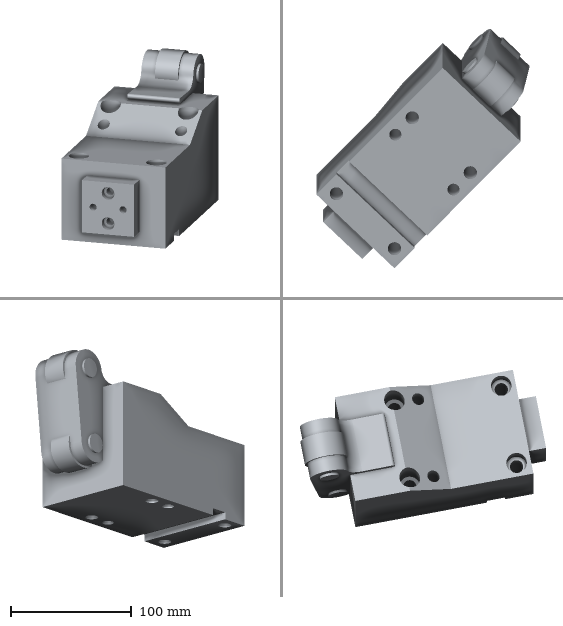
import cadquery as cq
import math


HOUSING_WIDTH = 90.0
HOUSING_LENGTH = 150.0
HOUSING_HEIGHT = 90.0
LOW_DECK_HEIGHT = 70.0
LOW_DECK_START = 80.64
RAMP_ANGLE = math.radians(30)
KEYWAY_WIDTH = 15.0
KEYWAY_DEPTH = 6.0
KEYWAY_START = 111.0

HOLE_SPACING_X = 67.0
BOLT_SPACING_Y = 90.0
REAR_BOLT_SETBACK = 48.0
BOLT_DIAMETER = 11.0
BOLT_HEAD_DIAMETER = 17.0
BOLT_HEAD_DEPTH = 13.0
DOWEL_DIAMETER = 10.0
BOLT_TO_DOWEL = 20.0
DOWEL_SETBACK = REAR_BOLT_SETBACK + BOLT_TO_DOWEL

BLOCK_SIDE = 45.0
BLOCK_THICKNESS = 15.0
BLOCK_CENTER_Z = 35.0
BLOCK_HOLE_RADIUS = 13.0
SCREW_DIAMETER = 6.6
SCREW_HEAD_DIAMETER = 11.0
SCREW_HEAD_DEPTH = 6.0
PORT_DIAMETER = 6.0

ARM_WIDTH = 45.0
EYE_RADIUS = 16.0
HUB_RADIUS = 18.0
HUB_WIDTH = 20.0
PIN_RADIUS = 8.0
PIN_LENGTH = 49.0
UPPER_EYE = (17.76, 102.11)
LOWER_EYE = (10.5, 38.3)
THROAT_RADIUS = 12.0
LEVER_REACH = 37.5
LEVER_TIP_HEIGHT = 95.55
LEVER_SLOPE = math.radians(1.7)
TIP_RADIUS = 2.0
UNDERCUT_RADIUS = 2.0
UNDERCUT_RAMP = 1.8
UNDERCUT_ANGLE = math.radians(45)

POCKET_LENGTH = 37.8
POCKET_DEPTH = 5.0


def cross_bar(center, radius, length):
    """Cylinder along X, centred on X = 0, with its axis through (Y, Z)."""
    return (
        cq.Workplane("YZ", origin=(-length / 2, 0, 0))
        .center(*center)
        .circle(radius)
        .extrude(length)
    )


def make_arm_plate():
    """Flat plate with two eyes and a lever whose foot sits in the housing pocket."""
    upper_y, upper_z = UPPER_EYE
    lower_y, lower_z = LOWER_EYE

    eye_angle = math.atan2(upper_z - lower_z, upper_y - lower_y)
    outer_y = EYE_RADIUS * math.sin(eye_angle)
    outer_z = -EYE_RADIUS * math.cos(eye_angle)

    def lever_top(y):
        return LEVER_TIP_HEIGHT - (y + LEVER_REACH - TIP_RADIUS) * math.tan(LEVER_SLOPE)

    normal_y, normal_z = math.sin(LEVER_SLOPE), math.cos(LEVER_SLOPE)
    offset = (upper_z - lever_top(upper_y)) * normal_z - THROAT_RADIUS
    along = math.sqrt((EYE_RADIUS + THROAT_RADIUS) ** 2 - offset**2)
    throat_y = upper_y - along * normal_z - offset * normal_y
    throat_z = upper_z + along * normal_y - offset * normal_z
    lever_start = (throat_y - THROAT_RADIUS * normal_y, throat_z - THROAT_RADIUS * normal_z)
    throat_angle = math.atan2(throat_z - upper_z, throat_y - upper_y)
    throat_start = (
        upper_y + EYE_RADIUS * math.cos(throat_angle),
        upper_z + EYE_RADIUS * math.sin(throat_angle),
    )
    throat_start_angle = math.atan2(throat_start[1] - throat_z, throat_start[0] - throat_y)
    throat_end_angle = math.atan2(-normal_z, -normal_y)
    mid_angle = (throat_start_angle + throat_end_angle) / 2
    throat_middle = (
        throat_y + THROAT_RADIUS * math.cos(mid_angle),
        throat_z + THROAT_RADIUS * math.sin(mid_angle),
    )

    sine, cosine = math.sin(UNDERCUT_ANGLE), math.cos(UNDERCUT_ANGLE)
    tip_y = TIP_RADIUS - LEVER_REACH
    tip_z = LEVER_TIP_HEIGHT - TIP_RADIUS
    tip_start = (tip_y, LEVER_TIP_HEIGHT)
    tip_middle = (-LEVER_REACH, tip_z)
    ramp_start = (tip_y - TIP_RADIUS * cosine, tip_z - TIP_RADIUS * sine)
    ramp_end = (ramp_start[0] + UNDERCUT_RAMP * sine, ramp_start[1] - UNDERCUT_RAMP * cosine)
    undercut_y = ramp_end[0] - UNDERCUT_RADIUS * cosine
    undercut_z = ramp_end[1] - UNDERCUT_RADIUS * sine
    undercut_middle = (
        undercut_y + UNDERCUT_RADIUS * math.cos(UNDERCUT_ANGLE / 2),
        undercut_z + UNDERCUT_RADIUS * math.sin(UNDERCUT_ANGLE / 2),
    )
    undercut_end = (undercut_y + UNDERCUT_RADIUS, undercut_z)

    pocket_floor = HOUSING_HEIGHT - POCKET_DEPTH
    return (
        cq.Workplane("YZ", origin=(-ARM_WIDTH / 2, 0, 0))
        .moveTo(lower_y + outer_y, lower_z + outer_z)
        .lineTo(upper_y + outer_y, upper_z + outer_z)
        .threePointArc((upper_y, upper_z + EYE_RADIUS), throat_start)
        .threePointArc(throat_middle, lever_start)
        .lineTo(*tip_start)
        .threePointArc(tip_middle, ramp_start)
        .lineTo(*ramp_end)
        .threePointArc(undercut_middle, undercut_end)
        .lineTo(undercut_end[0], pocket_floor)
        .lineTo(0, pocket_floor)
        .lineTo(0, lower_z)
        .lineTo(lower_y, lower_z)
        .close()
        .extrude(ARM_WIDTH)
    )


def make_lower_eye():
    """Lower eye with its hub; both reach into the housing."""
    return cross_bar(LOWER_EYE, EYE_RADIUS, ARM_WIDTH).union(cross_bar(LOWER_EYE, HUB_RADIUS, HUB_WIDTH))


def make_arm():
    arm = make_arm_plate().union(make_lower_eye())
    arm = arm.union(cross_bar(UPPER_EYE, HUB_RADIUS, HUB_WIDTH))
    for eye in (UPPER_EYE, LOWER_EYE):
        arm = arm.union(cross_bar(eye, PIN_RADIUS, PIN_LENGTH))
    return arm


def upright_bar(x, setback, diameter, bottom_z):
    """Cylinder along Z from bottom_z up past the housing top."""
    return (
        cq.Workplane("XY", origin=(x, -setback, bottom_z))
        .circle(diameter / 2)
        .extrude(HOUSING_HEIGHT)
    )


def make_housing_body():
    """Wedge-shaped block that drops over a ramp to the low deck."""
    ramp_start = LOW_DECK_START - (HOUSING_HEIGHT - LOW_DECK_HEIGHT) / math.tan(RAMP_ANGLE)
    return (
        cq.Workplane("YZ", origin=(-HOUSING_WIDTH / 2, 0, 0))
        .polyline(
            [
                (0, 0),
                (0, HOUSING_HEIGHT),
                (-ramp_start, HOUSING_HEIGHT),
                (-LOW_DECK_START, LOW_DECK_HEIGHT),
                (-HOUSING_LENGTH, LOW_DECK_HEIGHT),
                (-HOUSING_LENGTH, 0),
            ]
        )
        .close()
        .extrude(HOUSING_WIDTH)
    )


def cut_mounting_holes(body):
    head_seat_z = LOW_DECK_HEIGHT - BOLT_HEAD_DEPTH
    for x in (-HOLE_SPACING_X / 2, HOLE_SPACING_X / 2):
        for setback in (REAR_BOLT_SETBACK, REAR_BOLT_SETBACK + BOLT_SPACING_Y):
            body = body.cut(upright_bar(x, setback, BOLT_DIAMETER, 0))
            body = body.cut(upright_bar(x, setback, BOLT_HEAD_DIAMETER, head_seat_z))
        body = body.cut(upright_bar(x, DOWEL_SETBACK, DOWEL_DIAMETER, 0))
    return body


def make_housing():
    keyway = cq.Workplane("XY", origin=(0, -KEYWAY_START - KEYWAY_WIDTH / 2, 0)).box(
        HOUSING_WIDTH, KEYWAY_WIDTH, KEYWAY_DEPTH, centered=(True, True, False)
    )
    pocket = cq.Workplane("XY", origin=(0, -POCKET_LENGTH / 2, HOUSING_HEIGHT - POCKET_DEPTH)).box(
        ARM_WIDTH, POCKET_LENGTH, POCKET_DEPTH, centered=(True, True, False)
    )
    body = cut_mounting_holes(make_housing_body().cut(keyway))
    return body.cut(pocket).cut(make_lower_eye())


def make_connection_block():
    front_face = cq.Workplane("XZ", origin=(0, -HOUSING_LENGTH, BLOCK_CENTER_Z))
    spread = (-BLOCK_HOLE_RADIUS, BLOCK_HOLE_RADIUS)
    return (
        front_face.rect(BLOCK_SIDE, BLOCK_SIDE)
        .extrude(BLOCK_THICKNESS)
        .faces("<Y")
        .workplane(origin=(0, 0, BLOCK_CENTER_Z))
        .pushPoints([(0, z) for z in spread])
        .cboreHole(SCREW_DIAMETER, SCREW_HEAD_DIAMETER, SCREW_HEAD_DEPTH)
        .pushPoints([(x, 0) for x in spread])
        .hole(PORT_DIAMETER)
    )


housing = make_housing()
connection_block = make_connection_block()
arm = make_arm()

result = cq.Compound.makeCompound([housing.val(), connection_block.val(), arm.val()])